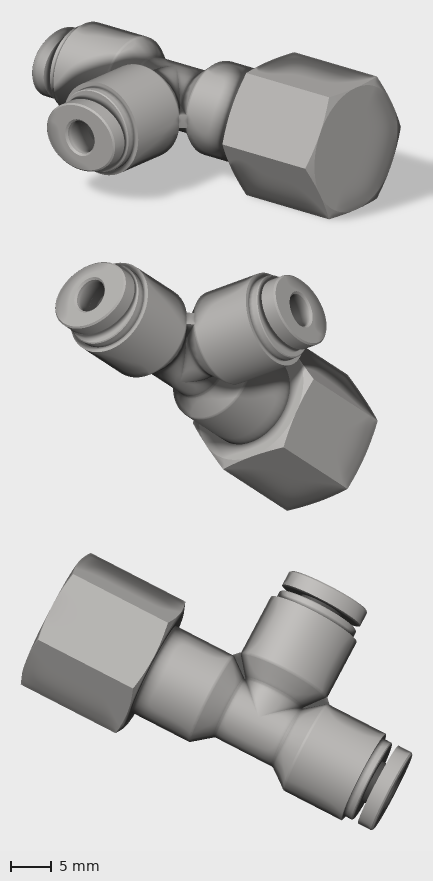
import cadquery as cq
import math


arm_end = 14.5
barrel_diameter = 11.9
barrel_start = 6.5
neck_diameter = 8.0
neck_end = neck_diameter / 2
blend_radius = 0.5
web_thickness = 1.6

cap_diameter = 10.6
cap_thickness = 1.2
cap_chamfer = 0.12
cap_bore_diameter = 4.18

collet_end = 18.5
flange_thickness = 2.0
flange_width = 10.8
flange_height = 8.6
flange_chamfer = 0.2
sleeve_diameter = 5.5
collet_bore_diameter = 4.2
bore_chamfer = 0.25

hex_across_flats = 16.0
hex_length = 14.0
hex_chamfer_angle = 20.0

barrel_radius = barrel_diameter / 2
neck_radius = neck_diameter / 2
hex_circumdiameter = hex_across_flats / math.cos(math.pi / 6)

cone_angle = math.atan2(barrel_radius - neck_radius, barrel_start - neck_end)
blend_setback = blend_radius * math.tan(cone_angle / 2)

left_port = cq.Plane(origin=(0, 0, 0), xDir=(0, 1, 0), normal=(-1, 0, 0))
right_port = cq.Plane(origin=(0, 0, 0), xDir=(0, 1, 0), normal=(1, 0, 0))
branch_port = cq.Plane(origin=(0, 0, 0), xDir=(1, 0, 0), normal=(0, -1, 0))
tube_ports = [left_port, branch_port]


def place(shape, port):
    """Move a shape built along +Z into a port frame."""
    return cq.Workplane(shape.val().moved(cq.Location(port)))


def make_arm():
    """Neck, cone and barrel of one arm, with both cone edges blended."""
    profile = [
        (0, 0),
        (neck_radius, 0),
        (neck_radius, neck_end),
        (barrel_radius, barrel_start),
        (barrel_radius, arm_end),
        (0, arm_end),
    ]
    arm = cq.Workplane("XZ").polyline(profile).close().revolve(360, (0, 0), (0, 1))
    cone_edges = cq.selectors.BoxSelector(
        (-barrel_diameter, -barrel_diameter, neck_end / 2),
        (barrel_diameter, barrel_diameter, barrel_start + neck_end / 2),
    )
    return arm.edges(cone_edges).fillet(blend_radius)


def make_web(side):
    """Flat web filling the corner between the branch and one side of the run."""
    barrel_tangent = barrel_start + blend_setback
    outline = [
        (0, 0),
        (side * barrel_tangent, -barrel_radius),
        (side * barrel_radius, -barrel_tangent),
    ]
    return cq.Workplane("XY").polyline(outline).close().extrude(web_thickness / 2, both=True)


def make_body():
    """Three equal arms and the two corner webs; the flat barrel ends close the tube ports."""
    arm = make_arm()
    body = place(arm, left_port).union(place(arm, right_port)).union(place(arm, branch_port))
    for side in (-1, 1):
        body = body.union(make_web(side))
    return body


def make_cap():
    """Ring seated on the barrel end, with its bore continuing the collet bore."""
    disc = cq.Workplane("XY").workplane(offset=arm_end).circle(cap_diameter / 2).extrude(cap_thickness)
    return disc.faces(">Z").chamfer(cap_chamfer).faces(">Z").workplane().hole(cap_bore_diameter)


def make_collet():
    """Oval push flange and round sleeve, bored through, with the bore mouth chamfered."""
    flange = (
        cq.Workplane("XY")
        .workplane(offset=collet_end - flange_thickness)
        .ellipse(flange_width / 2, flange_height / 2)
        .extrude(flange_thickness)
        .faces(">Z")
        .chamfer(flange_chamfer)
    )
    sleeve_start = arm_end + cap_thickness
    sleeve = (
        cq.Workplane("XY")
        .workplane(offset=sleeve_start)
        .circle(sleeve_diameter / 2)
        .extrude(collet_end - flange_thickness - sleeve_start)
    )
    collet = flange.union(sleeve).faces(">Z").workplane().hole(collet_bore_diameter)
    return collet.faces(">Z").edges("%CIRCLE").chamfer(bore_chamfer)


def make_nut():
    """Hexagonal prism, two flats facing +Z and -Z, with its corners turned off at both ends."""
    corner_radius = hex_circumdiameter / 2
    flat_radius = hex_across_flats / 2
    corner_setback = (corner_radius - flat_radius) * math.tan(math.radians(hex_chamfer_angle))
    nut_end = arm_end + hex_length
    prism = (
        cq.Workplane("XY").workplane(offset=arm_end).polygon(6, hex_circumdiameter).extrude(hex_length)
    )
    turned_profile = [
        (0, arm_end),
        (flat_radius, arm_end),
        (corner_radius, arm_end + corner_setback),
        (corner_radius, nut_end - corner_setback),
        (flat_radius, nut_end),
        (0, nut_end),
    ]
    turned = cq.Workplane("XZ").polyline(turned_profile).close().revolve(360, (0, 0), (0, 1))
    return prism.intersect(turned)


body = make_body()
nut = place(make_nut(), right_port)
caps = [place(make_cap(), port).val() for port in tube_ports]
collets = [place(make_collet(), port).val() for port in tube_ports]

result = cq.Compound.makeCompound([body.val(), nut.val(), *caps, *collets])